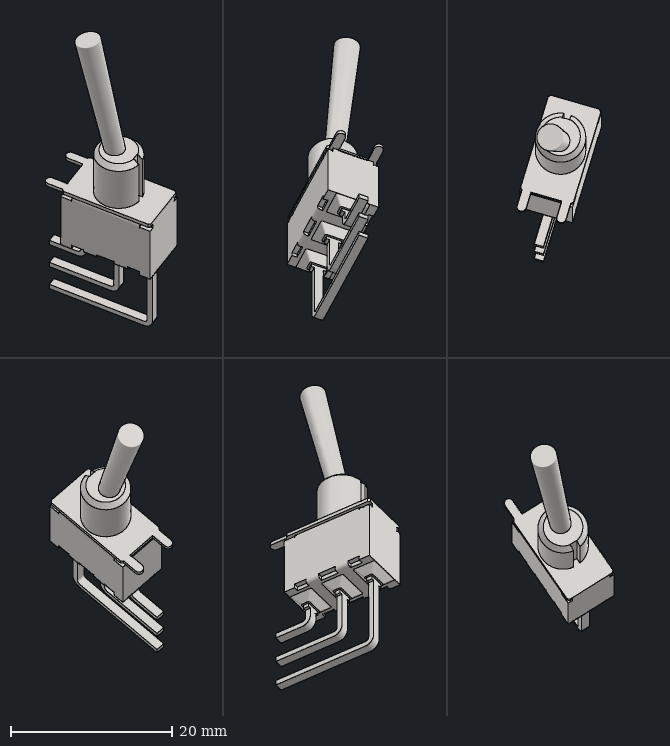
import cadquery as cq
import math


overall_height = 45.4

case_length = 12.7
case_width = 6.85
plate_bottom = 8.85
relief_depth = 0.7
ledge_drop = 0.55
bottom_relief_height = 0.6

strap_length = 9.6
strap_bend_radius = 0.7
tab_length = 1.9
tab_center = 2.2
tab_bend_radius = 0.45

plate_thickness = 0.55
plate_inset = 0.15
plate_corner = 0.25
prong_width = 1.2
prong_reach = 8.9
plate_top = plate_bottom + plate_thickness

bushing_radius = 3.15
bushing_height = 7.1
bushing_chamfer = 0.7
keyway_width = 0.95
keyway_floor = 2.35
bushing_top = plate_top + bushing_height

lever_tilt = 12.6
lever_length = 20.2
lever_base_radius = 1.25
lever_tip_radius = 1.7
lever_tip_fillet = 0.1

terminal_pitch = 4.7
terminal_thickness = 0.75
terminal_width = 1.23
terminal_reach = 9.55
terminal_lowest = -11.55
terminal_row_pitch = 3.8
inner_bend_radius = 0.5
shoulder_width = 2.05
shoulder_bottom = -1.55

mound_length = 3.2
mound_width = 4.55
mound_height = 1.0
mound_taper = 45.0
mound_corner_radius = 0.3

tilt = math.radians(lever_tilt)
lever_rise = (
    (lever_length - lever_tip_fillet) * math.cos(tilt)
    + (lever_tip_radius - lever_tip_fillet) * math.sin(tilt)
    + lever_tip_fillet
)
lever_pivot_height = overall_height + terminal_lowest - lever_rise

terminal_positions = [-terminal_pitch, 0, terminal_pitch]
sides = [-1, 1]


def block(x_size, y_size, z_low, z_high, x=0.0, y=0.0):
    """Box centred on (x, y) between two heights."""
    return (
        cq.Workplane("XY")
        .box(x_size, y_size, z_high - z_low, centered=(True, True, False))
        .translate((x, y, z_low))
    )


def make_case():
    """Case body relieved along its top corners and bottom edges, with the strap flush in its sides."""
    case = block(case_length, case_width, 0, plate_bottom)
    relief_y = (case_width - relief_depth) / 2
    for side in sides:
        y = side * relief_y
        case = case.cut(block(case_length, relief_depth, plate_bottom - ledge_drop, plate_bottom, y=y))
        case = case.cut(
            block(strap_length, relief_depth, plate_bottom - strap_bend_radius, plate_bottom, y=y)
        )
        case = case.cut(block(strap_length, relief_depth, 0, bottom_relief_height, y=y))
    return case


def make_strap():
    """Rounded upper bends of the strap and the tabs folded under the case between the terminals."""
    outer_edges = "<Y or >Y"
    strap = block(strap_length, case_width, bottom_relief_height, plate_bottom)
    strap = strap.faces(">Z").edges(outer_edges).fillet(strap_bend_radius)
    for side in sides:
        tab = block(tab_length, case_width, 0, bottom_relief_height, x=side * tab_center)
        strap = strap.union(tab.faces("<Z").edges(outer_edges).fillet(tab_bend_radius))
    return strap


def make_plate():
    """Thin top plate with chamfered corners and round-ended prongs toward -X."""
    half_length = case_length / 2
    length = case_length - plate_inset
    plate = block(length, case_width, plate_bottom, plate_top, x=half_length - length / 2)
    plate = plate.edges("|Z").chamfer(plate_corner)
    prong_y = case_width / 2 - plate_corner - prong_width / 2
    tip_center = prong_reach - prong_width / 2
    for side in sides:
        y = side * prong_y
        straight = block(tip_center, prong_width, plate_bottom, plate_top, x=-tip_center / 2, y=y)
        tip = cq.Workplane("XY", origin=(-tip_center, y, plate_bottom)).circle(prong_width / 2)
        plate = plate.union(straight).union(tip.extrude(plate_thickness))
    return plate


def make_bushing():
    """Chamfered cylinder with a keyway along its full height."""
    bushing = cq.Workplane("XY").workplane(offset=plate_bottom).circle(bushing_radius)
    bushing = bushing.extrude(bushing_top - plate_bottom).faces(">Z").chamfer(bushing_chamfer)
    keyway_depth = bushing_radius - keyway_floor
    keyway = block(keyway_depth, keyway_width, plate_top, bushing_top, x=keyway_floor + keyway_depth / 2)
    return bushing.cut(keyway)


def make_lever():
    """Round lever widening toward its flat, edge-rounded tip, leaning toward -X."""
    lever = cq.Workplane(cq.Solid.makeCone(lever_base_radius, lever_tip_radius, lever_length))
    lever = lever.faces(">Z").edges().fillet(lever_tip_fillet)
    lever = lever.rotate((0, 0, 0), (0, 1, 0), -lever_tilt)
    return lever.translate((0, 0, lever_pivot_height))


def make_terminal(x, bottom):
    """Flat pin that drops from the case at x and bends toward -X, with its mound and shoulder."""
    half_thickness = terminal_thickness / 2
    right = x + half_thickness
    left = x - half_thickness
    top = bottom + terminal_thickness
    outer_bend_radius = inner_bend_radius + terminal_thickness
    pin = (
        cq.Workplane("XZ")
        .moveTo(-terminal_reach, bottom)
        .lineTo(right - outer_bend_radius, bottom)
        .radiusArc((right, bottom + outer_bend_radius), -outer_bend_radius)
        .lineTo(right, 0)
        .lineTo(left, 0)
        .lineTo(left, top + inner_bend_radius)
        .radiusArc((left - inner_bend_radius, top), inner_bend_radius)
        .lineTo(-terminal_reach, top)
        .close()
        .extrude(terminal_width / 2, both=True)
    )
    shoulder = block(terminal_thickness, shoulder_width, shoulder_bottom, 0, x=x)
    mound = (
        cq.Workplane("XY", origin=(x, 0, 0))
        .rect(mound_length, mound_width)
        .extrude(-mound_height, taper=mound_taper)
        .edges("not #Z")
        .fillet(mound_corner_radius)
    )
    return pin.union(shoulder).union(mound)


result = make_case().union(make_strap()).union(make_plate()).union(make_bushing()).union(make_lever())
for index, terminal_x in enumerate(reversed(terminal_positions)):
    result = result.union(make_terminal(terminal_x, terminal_lowest + index * terminal_row_pitch))